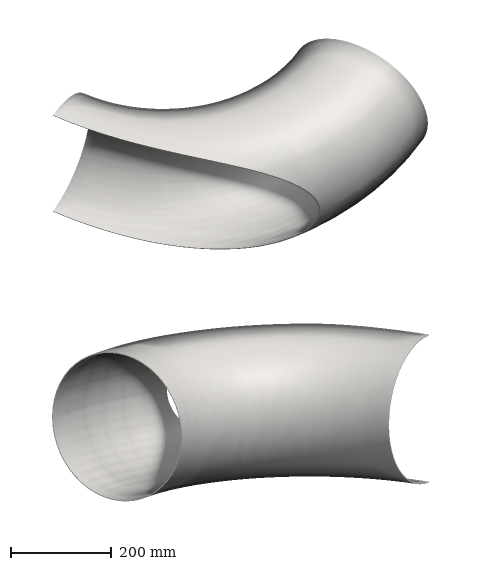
import cadquery as cq

overall_length = 602.0
pipe_diameter = 304.0
wall = 2.0

pipe_radius = pipe_diameter / 2
bend_radius = overall_length - pipe_radius
bend_angle = 90


def pipe_elbow():
    """Thin-walled quarter bend about the Z axis, from the +X end round to the -Y end."""
    section = (
        cq.Workplane("XZ")
        .center(bend_radius, 0)
        .circle(pipe_radius)
        .circle(pipe_radius - wall)
    )
    return section.revolve(bend_angle, (-bend_radius, 0, 0), (-bend_radius, -1, 0))


def kept_region():
    """Block whose front wall is the parabola y = x^2 / (4 * bend_radius) - bend_radius.

    The elbow meets an equal straight pipe, tangent to its -Y end and running along X,
    exactly on this parabola.
    """
    parabola_end_y = overall_length**2 / (4 * bend_radius) - bend_radius
    parabola_points = [
        (0, -bend_radius),
        (overall_length / 2, -bend_radius),
        (overall_length, parabola_end_y),
    ]
    return (
        cq.Workplane("XY")
        .bezier(parabola_points)
        .lineTo(overall_length, 0)
        .lineTo(0, 0)
        .close()
        .extrude(pipe_diameter, both=True)
    )


result = pipe_elbow().intersect(kept_region())